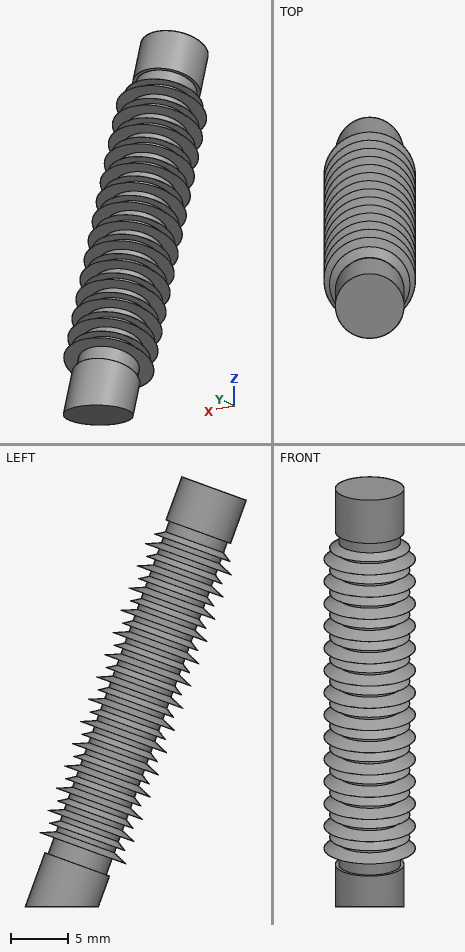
import cadquery as cq
import math

height = 37.6
tilt = 20.0

collar_diameter = 6.0
neck_diameter = 5.4
large_fin_diameter = 8.0
small_fin_diameter = 7.03

top_collar_length = 4.02
first_small_fin = 5.0
first_large_fin = 6.0
lower_collar_start = 34.95

fin_pairs = 14
fin_pitch = 2.05
small_fin_thickness = 0.53
large_fin_thickness = 0.55

collar_radius = collar_diameter / 2
neck_radius = neck_diameter / 2

long_side = height / math.cos(math.radians(tilt))
axis_length = long_side - collar_radius * math.tan(math.radians(tilt))


def fin_points(depth, diameter, thickness):
    """Profile of a fin: a cone widening downward from the neck to a flat underside."""
    top = axis_length - depth
    bottom = top - thickness
    return [(neck_radius, top), (diameter / 2, bottom), (neck_radius, bottom)]


def stem_profile():
    """Right half of the stem, as (radius, distance along the axis), from top to foot."""
    collar_bottom = axis_length - top_collar_length
    lower_collar_top = axis_length - lower_collar_start
    foot = axis_length - long_side
    points = [
        (0, axis_length),
        (collar_radius, axis_length),
        (collar_radius, collar_bottom),
        (neck_radius, collar_bottom),
    ]
    for pair in range(fin_pairs):
        shift = pair * fin_pitch
        points += fin_points(first_small_fin + shift, small_fin_diameter, small_fin_thickness)
        points += fin_points(first_large_fin + shift, large_fin_diameter, large_fin_thickness)
    points += [
        (neck_radius, lower_collar_top),
        (collar_radius, lower_collar_top),
        (collar_radius, foot),
        (0, foot),
    ]
    return points


stem = cq.Workplane("XZ").polyline(stem_profile()).close().revolve(360, (0, 0), (0, 1))
leaning_stem = stem.rotate((0, 0, 0), (1, 0, 0), tilt)

trim_width = 2 * height
below_ground = cq.Workplane("XY").rect(trim_width, trim_width).extrude(-height)
result = leaning_stem.cut(below_ground)